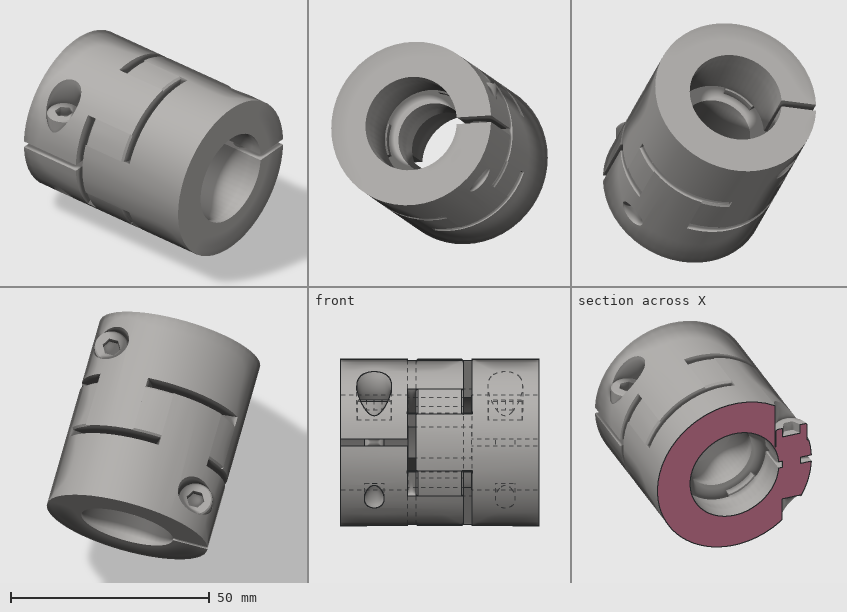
import cadquery as cq
import math


length = 50.0
outer_radius = 21.0

hub_length = 16.85
jaw_gap = 2.15
hub_bore_radius = 12.0
hub_bore_depth = 17.0
jaw_count = 3
slit_width = 1.7

screw_setback = 8.5
screw_offset = 15.5
head_radius = 4.25
counterbore_radius = 4.4
head_top = 10.65
head_height = 5.0
head_chamfer = 0.35
socket_sides = 6
socket_flats = 4.0
socket_depth = 2.5
shank_radius = 2.5
shank_length = 16.0

spider_bore_radius = 9.0
ring_radius = 11.5
leg_angle = 20.0
leg_chamfer = 0.5

half_length = length / 2
hub_face = hub_length - half_length
spider_start = hub_face + jaw_gap
spider_length = -2 * spider_start
leg_count = 2 * jaw_count
leg_pitch = 360.0 / leg_count
jaw_pitch = 360.0 / jaw_count
jaw_angle = leg_pitch - leg_angle
jaw_length = -spider_start - hub_face
screw_x = screw_setback - half_length
head_seat = head_top - head_height
shank_end = head_seat - shank_length


def tube(x_start, tube_length, outer, inner):
    """Hollow cylinder around the X axis."""
    return (
        cq.Workplane("YZ", origin=(x_start, 0, 0))
        .circle(outer)
        .circle(inner)
        .extrude(tube_length)
    )


def wedge(x_start, wedge_length, centre_angle, width_angle):
    """Sector from the X axis to beyond the outer surface; angles run from +Y towards +Z."""
    reach = 2 * outer_radius
    points = [(0, 0)]
    for side in (-1, 1):
        angle = math.radians(centre_angle + side * width_angle / 2)
        points.append((reach * math.cos(angle), reach * math.sin(angle)))
    return cq.Workplane("YZ", origin=(x_start, 0, 0)).polyline(points).close().extrude(wedge_length)


def screw_cylinder(radius, bottom, top):
    """Upright cylinder on the screw axis."""
    return (
        cq.Workplane("XY", origin=(screw_x, -screw_offset, bottom))
        .circle(radius)
        .extrude(top - bottom)
    )


def clamp_screw():
    """Socket head screw with its head upwards."""
    head = screw_cylinder(head_radius, head_seat, head_top).faces(">Z").chamfer(head_chamfer)
    socket = (
        cq.Workplane("XY", origin=(screw_x, -screw_offset, head_top))
        .polygon(socket_sides, socket_flats, circumscribed=True)
        .extrude(-socket_depth)
    )
    shank = screw_cylinder(shank_radius, shank_end, head_seat)
    return head.union(shank).cut(socket)


def clamp_hub():
    """Hub at the -X end, with its slit on the -Y side and one jaw on the +Y side."""
    hub = tube(-half_length, hub_length, outer_radius, ring_radius)

    jaw_ring = tube(hub_face, jaw_length, outer_radius, ring_radius)
    for index in range(jaw_count):
        hub = hub.union(jaw_ring.intersect(wedge(hub_face, jaw_length, index * jaw_pitch, jaw_angle)))
    hub = hub.clean()

    bore = cq.Workplane("YZ", origin=(-half_length, 0, 0)).circle(hub_bore_radius).extrude(hub_bore_depth)
    hub = hub.cut(bore)

    slit = cq.Workplane("XY", origin=(-half_length, -outer_radius, 0)).box(
        hub_length, outer_radius, slit_width, centered=(False, False, True)
    )
    hub = hub.cut(slit)

    hub = hub.cut(screw_cylinder(shank_radius, -outer_radius, outer_radius))
    hub = hub.cut(screw_cylinder(counterbore_radius, head_seat, outer_radius))

    return hub.union(clamp_screw())


def jaw_spider():
    """Ring with six legs that fill the spaces between the jaws."""
    spider = tube(spider_start, spider_length, ring_radius, spider_bore_radius)
    leg_disc = (
        tube(spider_start, spider_length, outer_radius, spider_bore_radius)
        .edges(cq.selectors.RadiusNthSelector(-1))
        .chamfer(leg_chamfer)
    )
    for index in range(leg_count):
        centre_angle = (index + 0.5) * leg_pitch
        spider = spider.union(
            leg_disc.intersect(wedge(spider_start, spider_length, centre_angle, leg_angle))
        )
    return spider


first_hub = clamp_hub()
hubs = [first_hub.rotate((0, 0, 0), (0, 0, 1), turn).solids().val() for turn in (0, 180)]
spider = jaw_spider().solids().val()

result = cq.Compound.makeCompound([*hubs, spider])